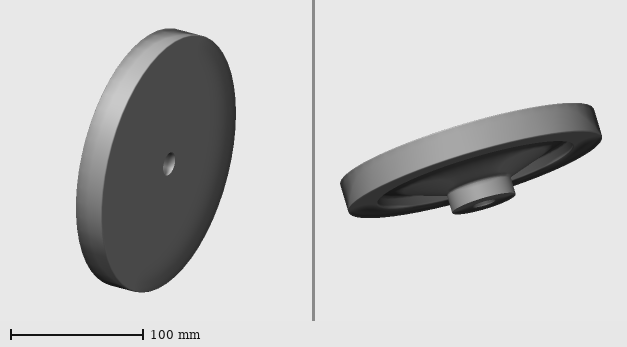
import cadquery as cq
import math

overall_length = 46.0
rim_diameter = 200.0
rim_width = 23.2
rim_edge_radius = 1.0
recess_diameter = 154.1
hub_diameter = 50.0
bore_diameter = 18.0

cone_angle = math.radians(70.0)
hub_length = 14.5
hub_fillet_radius = 2.0
recess_fillet_radius = 2.0

rim_radius = rim_diameter / 2
recess_radius = recess_diameter / 2
hub_radius = hub_diameter / 2
rim_face_x = overall_length - rim_width
cone_bottom_x = hub_length + (recess_radius - hub_radius) / math.tan(cone_angle)


def turned_blank():
    """Sharp-cornered half section, drawn as (X, radius), revolved about X."""
    section = (
        cq.Workplane("XY")
        .moveTo(0, bore_diameter / 2)
        .lineTo(0, hub_radius)
        .lineTo(hub_length, hub_radius)
        .lineTo(cone_bottom_x, recess_radius)
        .lineTo(rim_face_x, recess_radius)
        .lineTo(rim_face_x, rim_radius)
        .lineTo(overall_length, rim_radius)
        .lineTo(overall_length, bore_diameter / 2)
        .close()
    )
    return section.revolve(360, (0, 0, 0), (1, 0, 0))


def round_circle(body, x, circle_radius, fillet_radius):
    """Fillet the circular edge of the given radius centred on the axis at x."""
    def is_wanted(edge):
        if edge.geomType() != "CIRCLE":
            return False
        at_x = math.isclose(edge.arcCenter().x, x, abs_tol=1e-4)
        return at_x and math.isclose(edge.radius(), circle_radius, abs_tol=1e-4)

    return body.newObject(body.edges().filter(is_wanted).vals()).fillet(fillet_radius)


wheel = turned_blank()
wheel = round_circle(wheel, hub_length, hub_radius, hub_fillet_radius)
wheel = round_circle(wheel, cone_bottom_x, recess_radius, recess_fillet_radius)
wheel = round_circle(wheel, rim_face_x, recess_radius, rim_edge_radius)
for face_x in (rim_face_x, overall_length):
    wheel = round_circle(wheel, face_x, rim_radius, rim_edge_radius)

result = wheel